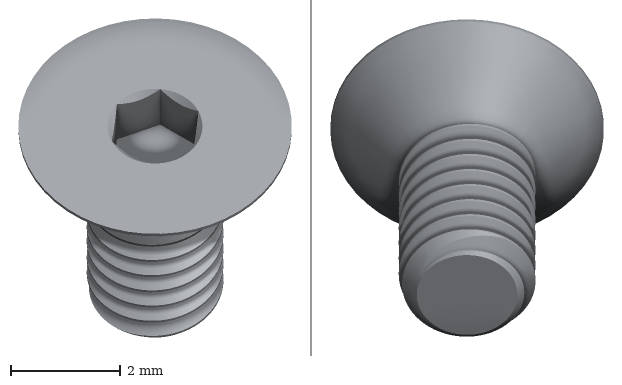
import cadquery as cq
import math

length = 5.0
head_radius = length / 2
rim_height = 0.075
head_height = 1.5

major_radius = 1.25
root_radius = 1.915 / 2
pitch = 0.45
crest_width = pitch / 8
flank_angle = math.radians(60 / 2)
crest_height_at_x = 0.38
tip_radius = 0.92
tip_chamfer = major_radius - tip_radius
groove_overlap = 0.025

socket_flats = 1.5
socket_corners = socket_flats / math.cos(math.radians(30))
socket_depth = 1.05

thread_top = length - rim_height - (head_radius - major_radius)


def make_head():
    cone_bottom_radius = head_radius - (head_height - rim_height)
    return (
        cq.Workplane("XZ")
        .moveTo(0, length - head_height)
        .lineTo(cone_bottom_radius, length - head_height)
        .lineTo(head_radius, length - rim_height)
        .lineTo(head_radius, length)
        .lineTo(0, length)
        .close()
        .revolve(360, (0, 0, 0), (0, 1, 0))
    )


def make_thread_envelope():
    """Cylinder of the major diameter with the chamfered tip."""
    return (
        cq.Workplane("XY")
        .circle(major_radius)
        .extrude(thread_top)
        .faces("<Z")
        .chamfer(tip_chamfer)
    )


def make_groove():
    """Helical groove between the crests that runs past both ends of the thread."""
    start = crest_height_at_x - 2.5 * pitch
    turns = math.ceil((thread_top - start) / pitch) + 1
    outer = major_radius + groove_overlap
    slope = math.tan(flank_angle)
    outer_half = (pitch - crest_width) / 2 + groove_overlap * slope
    root_half = outer_half - (outer - root_radius) * slope
    helix = cq.Wire.makeHelix(pitch, turns * pitch, root_radius, cq.Vector(0, 0, start))
    return (
        cq.Workplane("XZ")
        .polyline([
            (root_radius, start - root_half),
            (outer, start - outer_half),
            (outer, start + outer_half),
            (root_radius, start + root_half),
        ])
        .close()
        .sweep(cq.Workplane(obj=helix), isFrenet=True)
    )


def make_shank():
    """Thread a rod longer than the groove, then trim it to the envelope."""
    margin = 4 * pitch
    rod = (
        cq.Workplane("XY", origin=(0, 0, -margin))
        .circle(major_radius)
        .extrude(thread_top + 2 * margin)
    )
    return rod.cut(make_groove()).intersect(make_thread_envelope())


def make_socket():
    hexagon = (
        cq.Workplane("XY", origin=(0, 0, length))
        .transformed(rotate=(0, 0, 90))
        .polygon(6, socket_corners)
        .extrude(-socket_depth)
    )
    mouth_radius = socket_corners / 2
    lead_in = cq.Workplane(
        cq.Solid.makeCone(mouth_radius, 0, mouth_radius, cq.Vector(0, 0, length), cq.Vector(0, 0, -1))
    )
    return hexagon.union(lead_in)


result = make_head().union(make_shank()).cut(make_socket())